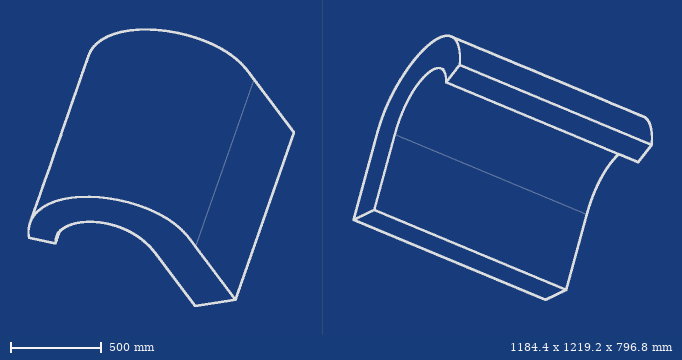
import cadquery as cq
import math


part_length = 1219.2
crest_height = 797.1

leg_thickness = 266.7
leg_length = 457.2
leg_slope = math.radians(60)
toe_x = 953.35

lip_drop = 508.0
lip_outer_x = 4.0
lip_width = 151.0
lip_z = crest_height - lip_drop

outer_control_points = [(-10.4, 371.8), (-64.3, 942.5), (787.3, 934.7)]
outer_leg_reach = 205.6
inner_control_points = [(140.5, 538.5)]
inner_leg_reach = 358.3

up_leg = math.pi - leg_slope
across_leg = math.pi / 2 - leg_slope


def offset(point, angle, distance):
    """Point moved by a distance along an angle in the XZ plane."""
    x, z = point
    return (x + distance * math.cos(angle), z + distance * math.sin(angle))


def make_profile():
    """Closed hook outline in the XZ plane, at the +Y end of the part."""
    lip_outer = (lip_outer_x, lip_z)
    lip_inner = (lip_outer_x + lip_width, lip_z)
    toe_inner = (toe_x, 0.0)
    toe_outer = offset(toe_inner, across_leg, leg_thickness)
    leg_top_inner = offset(toe_inner, up_leg, leg_length)
    leg_top_outer = offset(toe_outer, up_leg, leg_length)

    outer_leg_control = offset(leg_top_outer, up_leg, outer_leg_reach)
    inner_leg_control = offset(leg_top_inner, up_leg, inner_leg_reach)
    outer_curve = [lip_outer, *outer_control_points, outer_leg_control, leg_top_outer]
    inner_curve = [lip_inner, *inner_control_points, inner_leg_control, leg_top_inner]

    return (
        cq.Workplane("XZ", origin=(0, part_length / 2, 0))
        .moveTo(*lip_outer)
        .bezier(outer_curve)
        .lineTo(*toe_outer)
        .lineTo(*toe_inner)
        .lineTo(*leg_top_inner)
        .bezier(inner_curve[::-1])
        .close()
    )


result = make_profile().extrude(part_length)